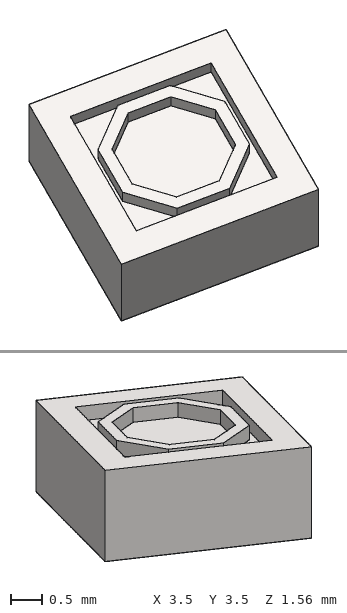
import cadquery as cq
import math

block_side = 3.5
block_height = 1.56

pocket_side = 2.5
pocket_depth = 0.25
ring_outer_flats = 2.25
ring_inner_flats = 1.835
ring_sides = 8

pocket_floor = block_height - pocket_depth


def octagon_prism(across_flats):
    """Octagonal prism from the pocket floor to the top face, with flats facing X and Y."""
    half_side_angle = math.pi / ring_sides
    across_corners = across_flats / math.cos(half_side_angle)
    return (
        cq.Workplane("XY")
        .workplane(offset=pocket_floor)
        .transformed(rotate=(0, 0, math.degrees(half_side_angle)))
        .polygon(ring_sides, across_corners)
        .extrude(pocket_depth)
    )


block = cq.Workplane("XY").box(block_side, block_side, block_height, centered=(True, True, False))
pocket = (
    cq.Workplane("XY")
    .workplane(offset=pocket_floor)
    .rect(pocket_side, pocket_side)
    .extrude(pocket_depth)
)
ring = octagon_prism(ring_outer_flats).cut(octagon_prism(ring_inner_flats))

result = block.cut(pocket.cut(ring))